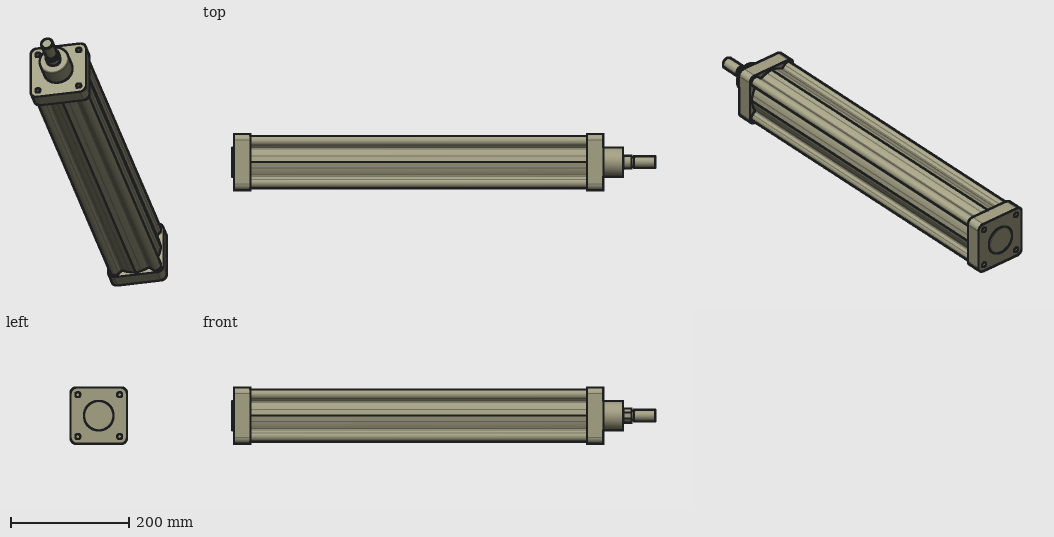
import cadquery as cq
import math

rear_boss_length = 3.0
cap_length = 28.0
barrel_length = 569.0
neck_length = 34.0
shank_length = 1.0
collar_length = 13.5
relief_length = 4.0
total_length = 716.0

rear_face = rear_boss_length
barrel_start = rear_face + cap_length
barrel_end = barrel_start + barrel_length
front_face = barrel_end + cap_length
neck_end = front_face + neck_length
collar_start = neck_end + shank_length
collar_end = collar_start + collar_length
thread_start = collar_end + relief_length

cap_size = 96.0
cap_corner_radius = 11.0
boss_radius = 25.0
boss_fillet = 1.5
screw_spacing = 71.0
screw_hole_radius = 4.0
screw_hole_depth = 14.0

body_radius = 43.0
ridge_half_width = 10.0
lobe_radius = 18.0 / 2
lobe_fillet = 2.0

collar_radius = 12.0
width_across_flats = 22.0
shank_radius = 11.5
relief_radius = 8.5
thread_radius = 10.0
thread_chamfer = 1.0


def cylinder(start, end, radius):
    """Round bar along X from start to end."""
    return cq.Workplane("YZ").workplane(offset=start).circle(radius).extrude(end - start)


def screw_holes(start, depth):
    """Four corner screw holes along X."""
    return (
        cq.Workplane("YZ")
        .workplane(offset=start)
        .rect(screw_spacing, screw_spacing, forConstruction=True)
        .vertices()
        .circle(screw_hole_radius)
        .extrude(depth)
    )


def cap_block(start):
    """Square end plate with rounded corners."""
    return (
        cq.Workplane("YZ")
        .workplane(offset=start)
        .rect(cap_size, cap_size)
        .extrude(cap_length)
        .edges("|X")
        .fillet(cap_corner_radius)
    )


def make_rear_cap():
    """End plate with a low round boss on its outer face."""
    boss = cylinder(0, barrel_start, boss_radius).faces("<X").edges().fillet(boss_fillet)
    return cap_block(rear_face).union(boss).cut(screw_holes(rear_face, screw_hole_depth))


def make_front_cap():
    """End plate with a round neck on its outer face."""
    neck = cylinder(barrel_end, neck_end, boss_radius).faces(">X").edges().fillet(boss_fillet)
    holes = screw_holes(front_face - screw_hole_depth, screw_hole_depth)
    return cap_block(barrel_end).union(neck).cut(holes)


def barrel_prism(points):
    """Closed polygon in the YZ plane, extruded over the barrel length."""
    return cq.Workplane("YZ").workplane(offset=barrel_start).polyline(points).close().extrude(barrel_length)


def is_web_root(edge):
    """True for a lengthwise edge where a web meets the round body, well away from the ridges."""
    center = edge.Center()
    on_body = math.isclose(math.hypot(center.y, center.z), body_radius, rel_tol=1e-4)
    return on_body and min(abs(center.y), abs(center.z)) > ridge_half_width


def make_barrel():
    """Round body with a low roof ridge on each side and a tie-rod lobe at each corner."""
    barrel = cylinder(barrel_start, barrel_end, body_radius)

    tangent_height = math.sqrt(body_radius**2 - ridge_half_width**2)
    crest_height = body_radius**2 / tangent_height
    ridge = barrel_prism(
        [(0, 0), (ridge_half_width, tangent_height), (0, crest_height), (-ridge_half_width, tangent_height)]
    )

    lobe_distance = screw_spacing / math.sqrt(2)
    web = barrel_prism(
        [(-lobe_radius, 0), (lobe_radius, 0), (lobe_radius, lobe_distance), (-lobe_radius, lobe_distance)]
    )
    lobe = cylinder(barrel_start, barrel_end, lobe_radius).translate((0, 0, lobe_distance))
    corner = web.union(lobe).rotate((0, 0, 0), (1, 0, 0), 45)

    quarter_turns = [90 * side for side in range(4)]
    for angle in quarter_turns:
        barrel = barrel.union(corner.rotate((0, 0, 0), (1, 0, 0), angle))
    barrel = barrel.edges("|X").filter(is_web_root).fillet(lobe_fillet)
    for angle in quarter_turns:
        barrel = barrel.union(ridge.rotate((0, 0, 0), (1, 0, 0), angle))
    return barrel


def make_rod():
    """Rod seated on the neck, with two wrench flats at the collar, a relief groove and a chamfered end."""
    shank = cylinder(neck_end, collar_start, shank_radius)
    flat_slab = (
        cq.Workplane("YZ")
        .workplane(offset=collar_start)
        .rect(width_across_flats, 2 * collar_radius)
        .extrude(collar_length)
    )
    collar = cylinder(collar_start, collar_end, collar_radius).intersect(flat_slab)
    relief = cylinder(collar_end, thread_start, relief_radius)
    thread = cylinder(thread_start, total_length, thread_radius).faces(">X").chamfer(thread_chamfer)
    return shank.union(collar).union(relief).union(thread)


rear_cap = make_rear_cap()
barrel = make_barrel()
front_cap = make_front_cap()
rod = make_rod()

result = cq.Compound.makeCompound([rear_cap.val(), barrel.val(), front_cap.val(), rod.val()])